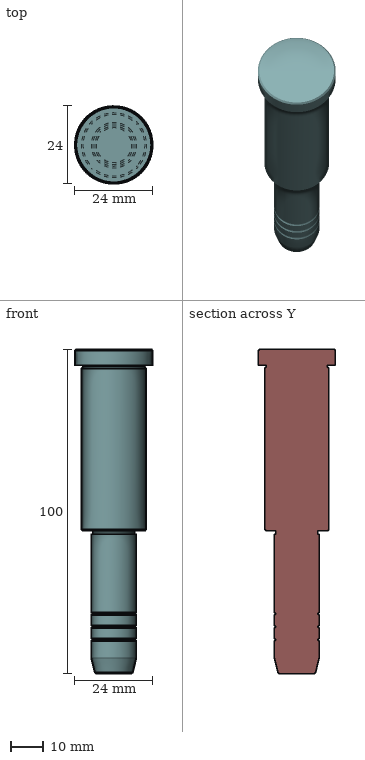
import cadquery as cq

total_length = 100.0
head_radius = 12.0
body_radius = 10.0
spigot_radius = 7.0

head_bottom = total_length - 5.0
body_bottom = head_bottom - 51.0
taper_top = 5.0

head_chamfer = 0.5
body_chamfer = 0.5
tip_chamfer = 0.5

spigot_neck_depth = 0.5
head_neck_height = 0.5
spigot_neck_height = 1.0

tip_radius = 5.9

groove_count = 3
groove_pitch = 4.0
lowest_groove_height = 10.5
groove_depth = 0.5


def make_pin():
    """Revolve the stepped half profile about Z, from the tip up to the head."""
    body_top = head_bottom - head_neck_height
    spigot_top = body_bottom - spigot_neck_height
    profile = [
        (0, 0),
        (tip_radius - tip_chamfer, 0),
        (tip_radius, tip_chamfer),
        (spigot_radius, taper_top),
        (spigot_radius, spigot_top),
        (spigot_radius - spigot_neck_depth, spigot_top),
        (spigot_radius - spigot_neck_depth, body_bottom),
        (body_radius - body_chamfer, body_bottom),
        (body_radius, body_bottom + body_chamfer),
        (body_radius, body_top - body_chamfer),
        (body_radius - body_chamfer, body_top),
        (body_radius - body_chamfer, head_bottom),
        (head_radius, head_bottom),
        (head_radius, total_length - head_chamfer),
        (head_radius - head_chamfer, total_length),
        (0, total_length),
    ]
    return cq.Workplane("XZ").polyline(profile).close().revolve(360, (0, 0), (0, 1))


def make_ring_groove(height):
    """Ring of square section standing on its corner, giving a V groove in the spigot."""
    section = [
        (spigot_radius - groove_depth, height),
        (spigot_radius, height + groove_depth),
        (spigot_radius + groove_depth, height),
        (spigot_radius, height - groove_depth),
    ]
    return cq.Workplane("XZ").polyline(section).close().revolve(360, (0, 0), (0, 1))


result = make_pin()
for index in range(groove_count):
    result = result.cut(make_ring_groove(lowest_groove_height + index * groove_pitch))